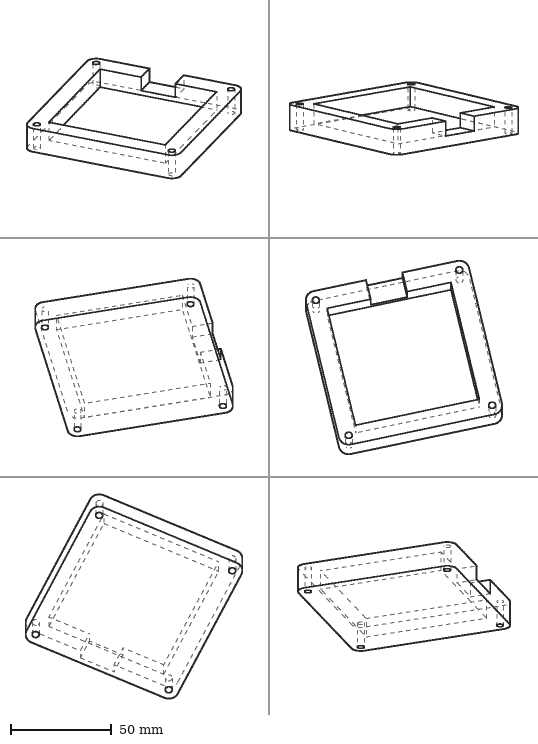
import cadquery as cq

LENGTH_X = 83.0
LENGTH_Y = 84.0
HEIGHT = 13.0
CORNER_RADIUS = 5.0

WALL_LEFT = 9.5
WALL_RIGHT = 10.5
WALL_FRONT = 9.5
WALL_BACK = 10.5
POCKET_DEPTH = 10.0

NOTCH_WIDTH = 18.5
NOTCH_DEPTH = 7.5
NOTCH_OFFSET_LEFT = 31.7

HOLE_DIAMETER = 3.4

LEFT = -LENGTH_X / 2
FRONT = -LENGTH_Y / 2
BACK = LENGTH_Y / 2


def outer_block():
    block = cq.Workplane("XY").box(LENGTH_X, LENGTH_Y, HEIGHT, centered=(True, True, False))
    return block.edges("|Z").fillet(CORNER_RADIUS)


def cut_box(x_start, y_start, size_x, size_y, depth):
    """Box reaching down from the top face, placed by its left front corner."""
    corner = (x_start, y_start, HEIGHT - depth)
    return cq.Workplane("XY").box(size_x, size_y, depth, centered=False).translate(corner)


def pocket():
    size_x = LENGTH_X - WALL_LEFT - WALL_RIGHT
    size_y = LENGTH_Y - WALL_FRONT - WALL_BACK
    return cut_box(LEFT + WALL_LEFT, FRONT + WALL_FRONT, size_x, size_y, POCKET_DEPTH)


def notch():
    return cut_box(LEFT + NOTCH_OFFSET_LEFT, BACK - WALL_BACK, NOTCH_WIDTH, WALL_BACK, NOTCH_DEPTH)


def corner_holes():
    spacing_x = LENGTH_X - 2 * CORNER_RADIUS
    spacing_y = LENGTH_Y - 2 * CORNER_RADIUS
    centres = cq.Workplane("XY").rect(spacing_x, spacing_y, forConstruction=True).vertices()
    return centres.circle(HOLE_DIAMETER / 2).extrude(HEIGHT)


result = outer_block().cut(pocket()).cut(notch()).cut(corner_holes())